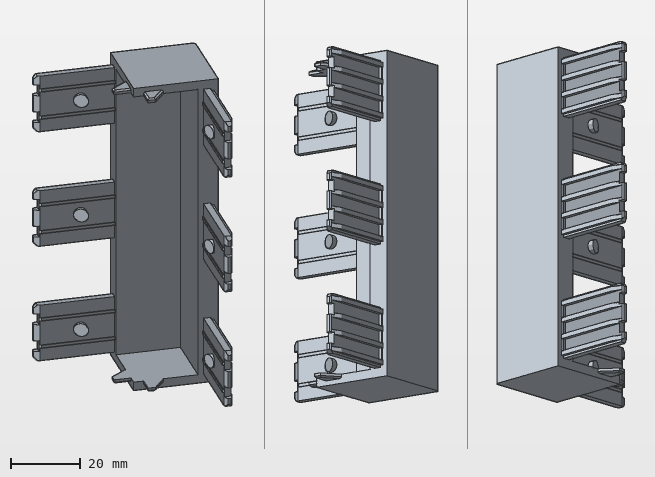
import cadquery as cq


height = 96.0
body_side = 25.2
wall = 6.0
end_plate = 2.7
corner_radius = 1.1

reach = 49.2
arm_pitch = 36.4
arm_height = 17.7
arm_outer = 2.3
arm_inner = 4.4
arm_corner = 1.1
bevel_start = 47.4
tip_bevel = 0.5
tip_outer = 2.7
tip_inner = 3.6
tip_shoulder = 3.9
notch_depth = 1.5
notch_inner = 2.6
notch_outer = 6.0

rib_outer = 1.3
rib_width = 1.3
rib_pitch = 5.0
rib_count = 4
rib_taper_start = 45.1
rib_span = rib_pitch * (rib_count - 1)
root_outer = 1.6
root_length = 0.5
floor_root = 2.6

rail_inner = 4.7
rail_width = 1.0
rail_offset = 4.3
rail_bevel = 0.4
peg_diameter = 4.0
peg_center = 35.5
peg_inner = 6.4
peg_low_end = 4.7

hook_reach = 5.0
hook_root = 16.3
hook_tip = 20.1
hook_end = 22.3
hook_inset = 1.4
hook_thickness = end_plate - hook_inset
hook_bevel = 0.5


def prism(points, z_center, thickness):
    """Extrude a plan outline of (x, depth) points, centered on z_center."""
    outline = [(x, -depth) for x, depth in points]
    plane = cq.Workplane("XY", origin=(0, 0, z_center))
    return plane.polyline(outline).close().extrude(thickness / 2, both=True)


def block(x_range, depth_range, z_center, thickness):
    """Box given by its X range, depth range and height."""
    x0, x1 = x_range
    d0, d1 = depth_range
    return prism([(x0, d0), (x1, d0), (x1, d1), (x0, d1)], z_center, thickness)


def corner_body():
    """Angle section closed by a plate at each end."""
    solid = block((0, body_side), (0, body_side), 0, height)
    pocket = block((wall, body_side), (wall, body_side), 0, height - 2 * end_plate)
    return solid.cut(pocket).edges("|Z and <X and >Y").fillet(corner_radius)


def arm_plate():
    """Flat tongue with a bevelled tip, cut corners and a sloping floor under the ribs."""
    plate = prism(
        [
            (body_side, arm_outer),
            (reach - tip_bevel, arm_outer),
            (reach, tip_outer),
            (reach, tip_inner),
            (reach - tip_bevel, tip_shoulder),
            (bevel_start, arm_inner),
            (body_side, arm_inner),
        ],
        0,
        arm_height,
    )
    half = arm_height / 2
    silhouette = (
        cq.Workplane("XZ")
        .polyline(
            [
                (body_side, -half),
                (reach - arm_corner, -half),
                (reach, arm_corner - half),
                (reach, half - arm_corner),
                (reach - arm_corner, half),
                (body_side, half),
            ]
        )
        .close()
        .extrude(reach)
    )
    plate = plate.intersect(silhouette)
    recess = prism(
        [
            (body_side, arm_outer),
            (reach - tip_bevel, arm_outer),
            (body_side, floor_root),
        ],
        0,
        rib_span,
    )
    return plate.cut(recess)


def outer_ribs():
    """Tapered ribs joined at the root by a low cross bar."""
    ribs = block((body_side, body_side + root_length), (root_outer, floor_root), 0, rib_span)
    for index in range(rib_count):
        rib = prism(
            [
                (body_side, rib_outer),
                (rib_taper_start, rib_outer),
                (reach - tip_bevel, arm_outer),
                (body_side, floor_root),
            ],
            index * rib_pitch - rib_span / 2,
            rib_width,
        )
        ribs = ribs.union(rib)
    return ribs


def inner_rail(z_center):
    """Low rail along the inner face of an arm."""
    return prism(
        [
            (body_side, arm_inner),
            (bevel_start, arm_inner),
            (bevel_start - rail_bevel, rail_inner),
            (body_side, rail_inner),
        ],
        z_center,
        rail_width,
    )


def peg():
    """Round peg whose top slopes down toward the tip of the arm."""
    radius = peg_diameter / 2
    cylinder = (
        cq.Workplane("XZ", origin=(peg_center, -arm_inner, 0))
        .circle(radius)
        .extrude(peg_inner - arm_inner)
    )
    wedge = prism(
        [
            (peg_center - radius, arm_inner),
            (peg_center + radius, arm_inner),
            (peg_center + radius, peg_low_end),
            (peg_center - radius, peg_inner),
        ],
        0,
        peg_diameter,
    )
    return cylinder.intersect(wedge)


def end_notch(z_center):
    """Cutter for a square notch through the tip of an arm."""
    x_range = (reach - notch_depth, reach)
    return block(x_range, (rib_outer, arm_inner), z_center, notch_outer - notch_inner)


def arm():
    """Complete arm centered on z = 0."""
    solid = arm_plate().union(outer_ribs()).union(peg())
    notch_offset = (notch_inner + notch_outer) / 2
    for side in (-1, 1):
        solid = solid.union(inner_rail(side * rail_offset))
        solid = solid.cut(end_notch(side * notch_offset))
    return solid


def hook():
    """Ramped hook on the upper end plate, flush with its inner face and bevelled outside."""
    tip = body_side + hook_reach
    solid = prism(
        [
            (body_side, hook_root),
            (tip, hook_tip),
            (tip, hook_end),
            (body_side, hook_end),
        ],
        height / 2 - hook_inset - hook_thickness / 2,
        hook_thickness,
    )
    return solid.faces(">Z").edges("not <X").chamfer(hook_bevel)


upper_hook = hook()
side_features = upper_hook.union(upper_hook.mirror("XY"))
for level in (-1, 0, 1):
    side_features = side_features.union(arm().translate((0, 0, level * arm_pitch)))

diagonal_normal = cq.Vector(1, 1, 0)
result = corner_body().union(side_features).union(side_features.mirror(diagonal_normal))